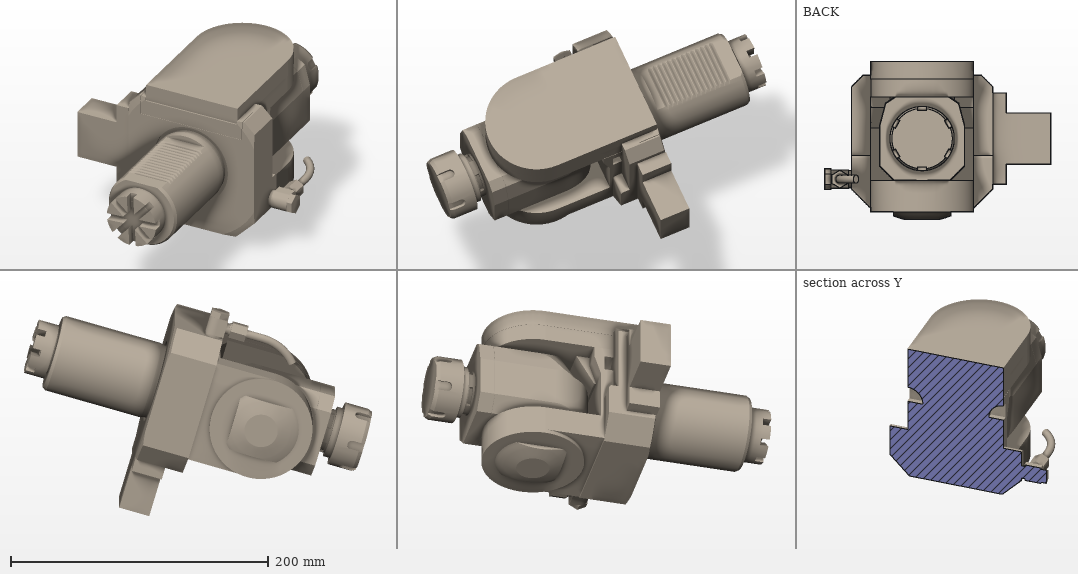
import cadquery as cq
import math


OVERALL_X = 175.7
OVERALL_Y = 268.91
CLEARANCE = 1.0

SHANK_R = 30.0
SHANK_END = 83.0
SHANK_CHAMFER = (1.5, 2.5)
NECK_R = 58.7 / 2
NECK_LENGTH = 3.7
NECK_ROOT_R = 29.0
NECK_ROOT_LENGTH = 1.5
SEAL_GROOVE_R = 32.3
SEAL_GROOVE_DEPTH = 1.5
FLAT_Z = 25.0
FLAT_START = 9.8
TOOTH_PITCH = 4.0
TOOTH_COUNT = 14
FIRST_TOOTH = 17.8
TOOTH_DEPTH = 1.7

DRIVE_NECK_R = 34.0 / 2
DRIVE_NECK_END = 84.2
DRIVE_R = 43.0 / 2
DRIVE_END = 100.11
DRIVE_SLOTS = 8
DRIVE_SLOT_WIDTH = 5.7
DRIVE_SLOT_DEPTH = 6.3
DRIVE_SLOT_ANGLE = 3.0
DRIVE_STEP_R = 14.2
DRIVE_STEP = 0.5

FLANGE_X = 55.0
FLANGE_TOP = 49.25
FLANGE_BOTTOM = -55.5
FLANGE_DEPTH = 38.3
FLANGE_UPPER_DEPTH = 31.0
FLANGE_STEP_Z = -13.0
FLANGE_STEP_FILLET = 2.5
TOP_CHAMFER = 9.0
BOTTOM_CHAMFER = 16.4
FACE_R = 62.0
FACE_SLOPE = 15.0
INSERT_X = 44.4
INSERT_BOTTOM = 33.6
INSERT_DEPTH = 18.0
SEAM = 0.4

STOP_FRONT = 0.2
STOP_DEPTH = 24.5
STOP_ROOT_X = -65.4
STOP_ROOT_Z = 35.5
STOP_TIP_X = -100.0
STOP_TIP_Z = 20.0

FORK_R = 80.0 / 2
FORK_Y = 125.7 - FORK_R
COVER_FRONT = 1.2
COVER_TOP = 60.0
COVER_BOTTOM = 46.3
COVER_OVERHANG = 0.2
FORK_BOTTOM = -57.0
FORK_FOOT_BOTTOM = -53.7
WEB_DEPTH = 41.2
RELIEF_R = 12.4
RELIEF_Z = 12.6
GUSSET_BOTTOM = 8.4
GUSSET_SIDE_DEPTH = 46.5
GUSSET_SIDE_Z = 24.3
GUSSET_DEPTH = 57.0
GUSSET_FOOT = 42.8
GUSSET_X = 25.0

CAP_R = 58.7 / 2
CAP_FLAT_R = 13.0
CAP_MID = (22.5, -60.0)
CAP_BOTTOM = -63.0
CAP_HALF_WIDTH = 22.4

HEAD_X = 33.0
HEAD_Z = 32.5
HEAD_END = 136.0
HEAD_REAR_Y = 75.6
HEAD_TOP_FLAT_X = 21.0
HEAD_TOP_KNEE = (28.5, 27.5)
HEAD_TOP_SIDE_Z = 10.5
HEAD_BOTTOM_CHAMFER = 11.0
HEAD_SEAM_Y = 124.2
HEAD_SEAM_DEPTH = 0.4
HEAD_CONE_TOP_R = 25.5
HEAD_CONE_BASE_R = 38.8
HEAD_CONE_BASE_Z = GUSSET_BOTTOM

SPINDLE_R = 34.7 / 2
COLLAR_R = 40.0 / 2
COLLAR_START = 141.8
NUT_R = 50.0 / 2
NUT_START = 146.9
NUT_END = OVERALL_Y - DRIVE_END
NUT_CHAMFER = (1.5, 3.0)
NUT_SLOTS = 6
NUT_SLOT_WIDTH = 7.0
NUT_SLOT_LENGTH = 13.0
NUT_SLOT_DEPTH = 3.0
SPINDLE_GROOVE = (137.5, 140.5)
SPINDLE_GROOVE_R = 15.7
SPINDLE_KEY_WIDTH = 11.8

FITTING_Y = 31.0
FITTING_Z = -31.5
FITTING_R = 14.5 / 2
FITTING_NECK_R = 13.5 / 2
FITTING_NECK_END = 57.3
FITTING_BODY_END = 71.0
FITTING_END = STOP_TIP_X + OVERALL_X
FITTING_HEX = 14.0
STEM_X = 63.9
STEM_R = 8.2 / 2
STEM_COLLAR_R = 9.8 / 2
STEM_COLLAR_Y = 41.0
STEM_HEX = 11.9
STEM_HEX_START = 42.4
STEM_HEX_END = 54.9
TUBE_R = 6.37 / 2
TUBE_BEND_Y = 69.0
TUBE_BEND_R = 35.0
TUBE_BEND_ANGLE = 50.0


def box(x_range, y_range, z_range):
    """Box between the given limits along each axis."""
    sizes = [high - low for low, high in (x_range, y_range, z_range)]
    low_corner = (x_range[0], y_range[0], z_range[0])
    return cq.Workplane("XY").box(*sizes, centered=False).translate(low_corner)


def cylinder_y(radius, y_start, y_end):
    """Cylinder on the shank axis."""
    return cq.Workplane("XZ", origin=(0, y_start, 0)).circle(radius).extrude(y_start - y_end)


def cylinder_z(radius, y_centre, z_start, z_end):
    """Upright cylinder centred on x = 0."""
    return cq.Workplane("XY", origin=(0, y_centre, z_start)).circle(radius).extrude(z_end - z_start)


def prism_yz(points, half_width):
    """Prism along X with an outline in the YZ plane."""
    return cq.Workplane("YZ").polyline(points).close().extrude(half_width, both=True)


def hexagon(plane, origin, across_flats, length):
    """Hexagonal prism with two corners along the plane's X direction."""
    across_corners = across_flats / math.cos(math.radians(30))
    return cq.Workplane(plane, origin=origin).polygon(6, across_corners).extrude(length)


def make_shank():
    radial, axial = SHANK_CHAMFER
    outline = [
        (0, SEAL_GROOVE_DEPTH),
        (NECK_ROOT_R, SEAL_GROOVE_DEPTH),
        (NECK_ROOT_R, -NECK_ROOT_LENGTH),
        (NECK_R, -NECK_ROOT_LENGTH),
        (NECK_R, -NECK_LENGTH),
        (SHANK_R, -NECK_LENGTH),
        (SHANK_R, axial - SHANK_END),
        (SHANK_R - radial, -SHANK_END),
        (DRIVE_NECK_R, -SHANK_END),
        (DRIVE_NECK_R, -DRIVE_NECK_END),
        (DRIVE_R, -DRIVE_NECK_END),
        (DRIVE_R, -DRIVE_END),
        (0, -DRIVE_END),
    ]
    shank = cq.Workplane("XY").polyline(outline).close().revolve(360, (0, 0, 0), (0, 1, 0))
    shank = shank.cut(box((-SHANK_R, SHANK_R), (-SHANK_END, -FLAT_START), (FLAT_Z, SHANK_R)))
    for index in range(TOOTH_COUNT):
        y = -FIRST_TOOTH - index * TOOTH_PITCH
        notch = [(y - TOOTH_DEPTH, FLAT_Z), (y, FLAT_Z - TOOTH_DEPTH), (y + TOOTH_DEPTH, FLAT_Z)]
        shank = shank.cut(prism_yz(notch, SHANK_R))
    return shank.cut(make_drive_slots())


def make_drive_slots():
    half = DRIVE_SLOT_WIDTH / 2
    floor = DRIVE_SLOT_DEPTH - DRIVE_END
    inner = box((-half, half), (-DRIVE_END, floor), (0, DRIVE_STEP_R))
    outer = box((-half, half), (-DRIVE_END, floor + DRIVE_STEP), (DRIVE_STEP_R, DRIVE_R + CLEARANCE))
    slot = inner.union(outer)
    slots = cq.Workplane("XY")
    for index in range(DRIVE_SLOTS):
        angle = index * 360 / DRIVE_SLOTS - DRIVE_SLOT_ANGLE
        slots = slots.union(slot.rotate((0, 0, 0), (0, 1, 0), angle))
    return slots


def make_flange():
    outline = [
        (FLANGE_X, FLANGE_BOTTOM + BOTTOM_CHAMFER),
        (FLANGE_X, FLANGE_TOP - TOP_CHAMFER),
        (FLANGE_X - TOP_CHAMFER, FLANGE_TOP),
        (TOP_CHAMFER - FLANGE_X, FLANGE_TOP),
        (-FLANGE_X, FLANGE_TOP - TOP_CHAMFER),
        (-FLANGE_X, FLANGE_BOTTOM + BOTTOM_CHAMFER),
        (BOTTOM_CHAMFER - FLANGE_X, FLANGE_BOTTOM),
        (FLANGE_X - BOTTOM_CHAMFER, FLANGE_BOTTOM),
    ]
    flange = cq.Workplane("XZ").polyline(outline).close().extrude(-FLANGE_DEPTH)
    upper_rear = box((-FLANGE_X, FLANGE_X), (FLANGE_UPPER_DEPTH, FLANGE_DEPTH), (FLANGE_STEP_Z, FLANGE_TOP))
    flange = flange.cut(upper_rear)
    step_edge = cq.selectors.NearestToPointSelector((0, FLANGE_DEPTH, FLANGE_STEP_Z))
    flange = flange.edges(step_edge).fillet(FLANGE_STEP_FILLET)

    reach = FLANGE_DEPTH / math.tan(math.radians(FACE_SLOPE))
    face_profile = [(0, 0), (FACE_R, 0), (FACE_R + reach, FLANGE_DEPTH), (0, FLANGE_DEPTH)]
    face_cone = cq.Workplane("XY").polyline(face_profile).close().revolve(360, (0, 0, 0), (0, 1, 0))
    flange = flange.intersect(face_cone)
    cover_seat = box((-FORK_R, FORK_R), (0, COVER_FRONT), (COVER_BOTTOM, FLANGE_TOP))
    flange = flange.cut(cover_seat)
    return flange.cut(cylinder_y(SEAL_GROOVE_R, 0, SEAL_GROOVE_DEPTH))


def cut_insert_seam(body):
    """Fine joint around the pad let into the top of the flange."""
    for side in (-1, 1):
        edges = sorted((side * INSERT_X, side * (INSERT_X + SEAM)))
        body = body.cut(box(edges, (0, INSERT_DEPTH), (INSERT_BOTTOM, FLANGE_TOP)))
    lower = box((-INSERT_X, INSERT_X), (0, SEAM), (INSERT_BOTTOM, INSERT_BOTTOM + SEAM))
    return body.cut(lower)


def make_stop():
    root = box((STOP_ROOT_X, -FLANGE_X), (STOP_FRONT, STOP_DEPTH), (-STOP_ROOT_Z, STOP_ROOT_Z))
    tip = box((STOP_TIP_X, STOP_ROOT_X), (STOP_FRONT, STOP_DEPTH), (-STOP_TIP_Z, STOP_TIP_Z))
    return root.union(tip)


def make_fork():
    sides = (-FORK_R, FORK_R)
    cover = box(sides, (COVER_FRONT, FORK_Y), (COVER_BOTTOM, COVER_TOP))
    cover_round = cylinder_z(FORK_R, FORK_Y, COVER_BOTTOM, COVER_TOP)
    arm_r = FORK_R - COVER_OVERHANG
    upper = box((-arm_r, arm_r), (FLANGE_UPPER_DEPTH, FORK_Y), (HEAD_Z, COVER_BOTTOM))
    upper_round = cylinder_z(arm_r, FORK_Y, HEAD_Z, COVER_BOTTOM)
    foot = box(sides, (FLANGE_UPPER_DEPTH, FORK_Y), (FORK_FOOT_BOTTOM, -HEAD_Z))
    foot_round = cylinder_z(FORK_R, FORK_Y, FORK_BOTTOM, -HEAD_Z)
    fork = cover.union(cover_round).union(upper).union(upper_round).union(foot).union(foot_round)
    return fork.union(make_web())


def make_web():
    """Wall between the fork arms, with gussets above and a round relief on each side."""
    web = box((-FORK_R, FORK_R), (FLANGE_UPPER_DEPTH, WEB_DEPTH), (-HEAD_Z, HEAD_Z))
    side_gusset = [
        (WEB_DEPTH, GUSSET_BOTTOM),
        (GUSSET_SIDE_DEPTH, GUSSET_SIDE_Z),
        (GUSSET_SIDE_DEPTH, HEAD_Z),
        (WEB_DEPTH, HEAD_Z),
    ]
    middle_gusset = [
        (WEB_DEPTH, GUSSET_BOTTOM),
        (GUSSET_FOOT, GUSSET_BOTTOM),
        (GUSSET_DEPTH, HEAD_Z),
        (WEB_DEPTH, HEAD_Z),
    ]
    web = web.union(prism_yz(side_gusset, FORK_R)).union(prism_yz(middle_gusset, GUSSET_X))
    reliefs = (
        cq.Workplane("XZ", origin=(0, FLANGE_UPPER_DEPTH, RELIEF_Z))
        .pushPoints([(-FORK_R, 0), (FORK_R, 0)])
        .circle(RELIEF_R)
        .extrude(FLANGE_UPPER_DEPTH - FLANGE_DEPTH)
    )
    upper_half = box((-FLANGE_X, FLANGE_X), (0, FLANGE_DEPTH), (RELIEF_Z, HEAD_Z))
    return web.cut(reliefs.intersect(upper_half))


def make_cap():
    cap = (
        cq.Workplane("XZ")
        .moveTo(0, FORK_BOTTOM)
        .lineTo(CAP_R, FORK_BOTTOM)
        .threePointArc(CAP_MID, (CAP_FLAT_R, CAP_BOTTOM))
        .lineTo(0, CAP_BOTTOM)
        .close()
        .revolve(360, (0, 0, 0), (0, 1, 0))
    )
    trim = box((-CAP_HALF_WIDTH, CAP_HALF_WIDTH), (-CAP_HALF_WIDTH, CAP_R), (CAP_BOTTOM, FORK_BOTTOM))
    return cap.intersect(trim).translate((0, FORK_Y, 0))


def head_section(y):
    """Closed outline of the head in the plane at the given y."""
    right = [
        (HEAD_TOP_FLAT_X, HEAD_Z),
        HEAD_TOP_KNEE,
        (HEAD_X, HEAD_TOP_SIDE_Z),
        (HEAD_X, HEAD_BOTTOM_CHAMFER - HEAD_Z),
        (HEAD_X - HEAD_BOTTOM_CHAMFER, -HEAD_Z),
    ]
    left = [(-x, z) for x, z in reversed(right)]
    return cq.Workplane("XZ", origin=(0, y, 0)).polyline(right + left).close()


def make_head():
    rear = HEAD_REAR_Y - HEAD_X
    head = head_section(rear).extrude(rear - HEAD_END)

    rounded = cylinder_z(HEAD_X, HEAD_REAR_Y, -HEAD_Z, HEAD_Z)
    straight = box((-HEAD_X, HEAD_X), (HEAD_REAR_Y, HEAD_END), (-HEAD_Z, HEAD_Z))
    head = head.intersect(rounded.union(straight))

    cone = (
        cq.Workplane("XZ")
        .polyline([
            (0, HEAD_CONE_BASE_Z),
            (HEAD_CONE_BASE_R, HEAD_CONE_BASE_Z),
            (HEAD_CONE_TOP_R, HEAD_Z),
            (0, HEAD_Z),
        ])
        .close()
        .revolve(360, (0, 0, 0), (0, 1, 0))
        .translate((0, FORK_Y, 0))
    )
    beside_cone = box((-HEAD_X, HEAD_X), (rear, FORK_Y), (HEAD_CONE_BASE_Z, HEAD_Z)).cut(cone)
    head = head.cut(beside_cone)

    outer = head_section(HEAD_SEAM_Y).extrude(-SEAM)
    inner = head_section(HEAD_SEAM_Y).offset2D(-HEAD_SEAM_DEPTH).extrude(-SEAM)
    return head.cut(outer.cut(inner))


def make_spindle():
    radial, axial = NUT_CHAMFER
    spindle = cylinder_y(SPINDLE_R, HEAD_END, COLLAR_START)
    half_key = SPINDLE_KEY_WIDTH / 2
    groove = cylinder_y(SPINDLE_R, *SPINDLE_GROOVE).cut(cylinder_y(SPINDLE_GROOVE_R, *SPINDLE_GROOVE))
    groove = groove.cut(box((-half_key, half_key), SPINDLE_GROOVE, (-SPINDLE_R, SPINDLE_R)))
    groove = groove.cut(box((-SPINDLE_R, SPINDLE_R), SPINDLE_GROOVE, (-half_key, half_key)))
    spindle = spindle.cut(groove).union(cylinder_y(COLLAR_R, COLLAR_START, NUT_START))

    nut_profile = [
        (0, NUT_START),
        (NUT_R, NUT_START),
        (NUT_R, NUT_END - axial),
        (NUT_R - radial, NUT_END),
        (0, NUT_END),
    ]
    nut = cq.Workplane("XY").polyline(nut_profile).close().revolve(360, (0, 0, 0), (0, 1, 0))
    half = NUT_SLOT_WIDTH / 2
    slot_root = NUT_END - NUT_SLOT_LENGTH + half
    slot = (
        cq.Workplane("XY", origin=(0, 0, NUT_R - NUT_SLOT_DEPTH))
        .moveTo(-half, NUT_END)
        .lineTo(-half, slot_root)
        .threePointArc((0, slot_root - half), (half, slot_root))
        .lineTo(half, NUT_END)
        .close()
        .extrude(NUT_SLOT_DEPTH)
    )
    for index in range(NUT_SLOTS):
        nut = nut.cut(slot.rotate((0, 0, 0), (0, 1, 0), index * 360 / NUT_SLOTS))
    return spindle.union(nut)


def make_fitting():
    def along_x(radius, x_start, x_end):
        plane = cq.Workplane("YZ", origin=(x_start, FITTING_Y, FITTING_Z))
        return plane.circle(radius).extrude(x_end - x_start)

    def along_y(radius, y_start, y_end):
        plane = cq.Workplane("XZ", origin=(STEM_X, y_start, FITTING_Z))
        return plane.circle(radius).extrude(y_start - y_end)

    body_rear = FITTING_Y + FITTING_R
    neck = along_x(FITTING_NECK_R, FLANGE_X, FITTING_NECK_END)
    body = along_x(FITTING_R, FITTING_NECK_END, FITTING_BODY_END)
    body_square = box(
        (FITTING_NECK_END, FITTING_BODY_END),
        (FITTING_Y, body_rear),
        (FITTING_Z - FITTING_R, FITTING_Z + FITTING_R),
    )
    nut_origin = (FITTING_BODY_END, FITTING_Y, FITTING_Z)
    nut = hexagon("YZ", nut_origin, FITTING_HEX, FITTING_END - FITTING_BODY_END)
    nut = nut.rotate(nut_origin, (FITTING_END, FITTING_Y, FITTING_Z), 90)

    stem = along_y(STEM_R, FITTING_Y, STEM_HEX_START)
    collar = along_y(STEM_COLLAR_R, STEM_COLLAR_Y, STEM_HEX_START)
    hex_origin = (STEM_X, STEM_HEX_START, FITTING_Z)
    stem_hex = hexagon("XZ", hex_origin, STEM_HEX, STEM_HEX_START - STEM_HEX_END)
    stem_hex = stem_hex.rotate(hex_origin, (STEM_X, STEM_HEX_END, FITTING_Z), 90)

    tube = along_y(TUBE_R, STEM_HEX_END, TUBE_BEND_Y)
    bend = (
        cq.Workplane("XZ", origin=(STEM_X, TUBE_BEND_Y, FITTING_Z))
        .circle(TUBE_R)
        .revolve(TUBE_BEND_ANGLE, (-TUBE_BEND_R, -1, 0), (-TUBE_BEND_R, 0, 0))
    )
    fitting = neck
    for piece in (body, body_square, nut, stem, collar, stem_hex, tube, bend):
        fitting = fitting.union(piece)
    return fitting


result = cut_insert_seam(make_flange())
for make in (make_shank, make_stop, make_fork, make_cap, make_head, make_spindle, make_fitting):
    result = result.union(make())